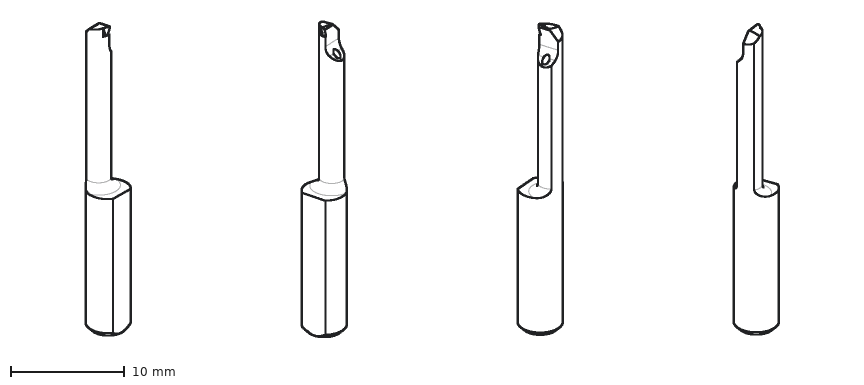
import cadquery as cq
import math

shank_radius = 2.0
shank_length = 13.8
shank_flat_x = 1.55
shank_chamfer = 0.5

overall_length = 30.0
neck_radius = 1.125
neck_center_x = -1.1
neck_fillet = 0.8

rake_y = 0.13
clearance_arc_radius = 1.25
clearance_arc_start_z = 28.1
slope_angle = 45

cutting_edge_y = -0.06
rake_bevel_height = 0.2

notch_x = -0.12
notch_floor_z = 29.05
nose_radius = 0.6
nose_foot_x = -0.1
nose_x = 0.17

end_relief_angle = 8.0
end_fall_angle = 6.0
end_break_x = -1.07

coolant_diameter = 0.65
coolant_x = -1.03
coolant_y = 0.63

reach = 3 * shank_radius
cutter_top_z = overall_length + shank_radius


def make_shank():
    bar = cq.Workplane("XY").circle(shank_radius).extrude(shank_length)
    return bar.faces("<Z").chamfer(shank_chamfer)


def make_neck():
    """Neck with a fillet at its foot and its root inside the shank."""
    root_z = shank_length / 2
    foot_radius = neck_radius + neck_fillet
    fillet_top_z = shank_length + neck_fillet
    half_way = neck_fillet * math.sin(math.radians(45))
    profile = (
        cq.Workplane("XZ")
        .moveTo(0, root_z)
        .lineTo(foot_radius, root_z)
        .lineTo(foot_radius, shank_length)
        .threePointArc(
            (foot_radius - half_way, fillet_top_z - half_way),
            (neck_radius, fillet_top_z),
        )
        .lineTo(neck_radius, overall_length)
        .lineTo(0, overall_length)
        .close()
    )
    return profile.revolve(360, (0, 0, 0), (0, 1, 0)).translate((neck_center_x, 0, 0))


def make_notch_cutter():
    return (
        cq.Workplane("XY")
        .box(reach, reach, reach, centered=(False, True, False))
        .translate((notch_x, 0, notch_floor_z))
    )


def make_nose():
    """Horn of constant radius whose +X side leans outwards from the notch floor to the end face."""
    return (
        cq.Workplane("XY")
        .workplane(offset=notch_floor_z)
        .center(nose_foot_x - nose_radius, 0)
        .circle(nose_radius)
        .workplane(offset=overall_length - notch_floor_z)
        .center(nose_x - nose_foot_x, 0)
        .circle(nose_radius)
        .loft(ruled=True)
    )


def make_shank_outline():
    """Full-height cylinder that bounds the neck."""
    return cq.Workplane("XY").circle(shank_radius).extrude(overall_length)


def make_flat_cutter():
    return (
        cq.Workplane("XY")
        .box(reach, reach, overall_length, centered=(False, True, False))
        .translate((shank_flat_x, 0, 0))
    )


def make_clearance_cutter():
    """Region on the +Y side of the rake face, ending in a tangent arc and a 45 degree slope."""
    def arc_point(degrees):
        angle = math.radians(degrees)
        return (
            rake_y + clearance_arc_radius * (1 - math.cos(angle)),
            clearance_arc_start_z - clearance_arc_radius * math.sin(angle),
        )

    arc_end_y, arc_end_z = arc_point(slope_angle)
    bevel_foot_z = overall_length - rake_bevel_height
    return (
        cq.Workplane("YZ")
        .moveTo(cutting_edge_y, cutter_top_z)
        .lineTo(cutting_edge_y, overall_length)
        .lineTo(rake_y, bevel_foot_z)
        .lineTo(rake_y, clearance_arc_start_z)
        .threePointArc(arc_point(slope_angle / 2), arc_point(slope_angle))
        .lineTo(arc_end_y + shank_radius, arc_end_z - shank_radius)
        .lineTo(arc_end_y + shank_radius, cutter_top_z)
        .close()
        .extrude(reach, both=True)
    )


def make_end_relief_cutter():
    """Block above the end face, tilted about the tip of the nose."""
    return (
        cq.Workplane("XY")
        .box(reach, reach, reach, centered=(True, True, False))
        .rotate((0, 0, 0), (1, 0, 0), end_relief_angle)
        .rotate((0, 0, 0), (0, 1, 0), -end_fall_angle)
        .translate((nose_x, cutting_edge_y, overall_length))
    )


def make_end_break_cutter():
    """Wedge that breaks the -X end of the cutting edge at 45 degrees."""
    fall = (nose_x - end_break_x) * math.tan(math.radians(end_fall_angle))
    break_z = overall_length - fall
    rise = cutter_top_z - break_z
    return (
        cq.Workplane("XZ")
        .polyline([
            (end_break_x + rise, cutter_top_z),
            (end_break_x - shank_radius, break_z - shank_radius),
            (end_break_x - shank_radius, cutter_top_z),
        ])
        .close()
        .extrude(reach, both=True)
    )


def make_coolant_hole():
    return (
        cq.Workplane("XY")
        .center(coolant_x, coolant_y)
        .circle(coolant_diameter / 2)
        .extrude(overall_length)
    )


trimmed_neck = make_neck().intersect(make_shank_outline()).cut(make_notch_cutter())

result = (
    make_shank()
    .union(trimmed_neck)
    .union(make_nose())
    .cut(make_flat_cutter())
    .cut(make_clearance_cutter())
    .cut(make_end_relief_cutter())
    .cut(make_end_break_cutter())
    .cut(make_coolant_hole())
)